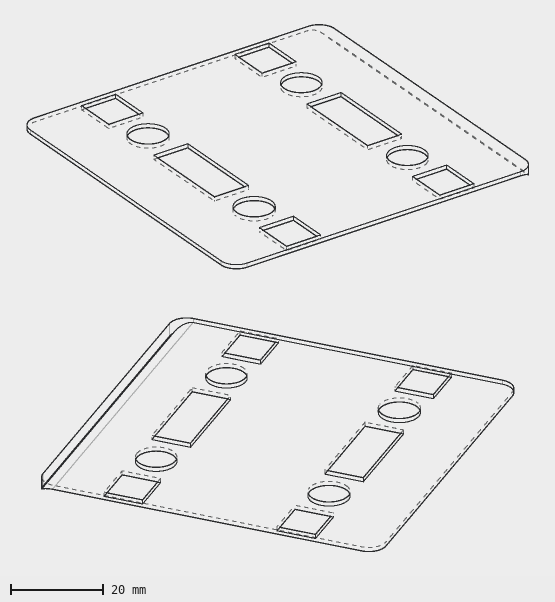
import cadquery as cq

side = 80.0
plate_thickness = 1.0
corner_radius = 4.0

total_height = 3.1
rib_tip_width = 0.2
rib_root_width = 3.8
rib_arc_sag = 0.5

row_spacing = 40.3
hole_spacing = 40.0
back_hole_diameter = 9.0
front_hole_diameter = 9.1
opening_width = 9.0
slot_length = 22.9
window_length = 10.2
window_spacing = 67.0

half_side = side / 2
rib_height = total_height - plate_thickness


def make_plate():
    """Flat square plate with its underside at Z = 0."""
    return cq.Workplane("XY").rect(side, side).extrude(plate_thickness)


def make_rib():
    """Hanging rib with a concave inner face, running the full width in X."""
    root_y = half_side - rib_root_width
    tip_y = half_side - rib_tip_width
    return (
        cq.Workplane("YZ", origin=(-half_side, 0, 0))
        .moveTo(half_side, 0)
        .lineTo(root_y, 0)
        .sagittaArc((tip_y, -rib_height), rib_arc_sag)
        .lineTo(half_side, -rib_height)
        .close()
        .extrude(side)
    )


def make_opening_row(row_y, hole_diameter):
    """Cutter for one row: a slot, two round holes and two end windows."""
    plane = cq.Workplane("XY", origin=(0, row_y, 0))
    slot = plane.rect(slot_length, opening_width).extrude(plate_thickness)
    holes = plane.rarray(hole_spacing, 0.8, 2, 1).circle(hole_diameter / 2).extrude(plate_thickness)
    windows = (
        plane.rarray(window_spacing, 0.8, 2, 1)
        .rect(window_length, opening_width)
        .extrude(plate_thickness)
    )
    return slot.union(holes).union(windows)


corner_envelope = (
    cq.Workplane("XY", origin=(0, 0, -rib_height))
    .rect(side, side)
    .extrude(total_height)
    .edges("|Z")
    .fillet(corner_radius)
)

result = (
    make_plate()
    .union(make_rib())
    .intersect(corner_envelope)
    .cut(make_opening_row(row_spacing / 2, back_hole_diameter))
    .cut(make_opening_row(-row_spacing / 2, front_hole_diameter))
)